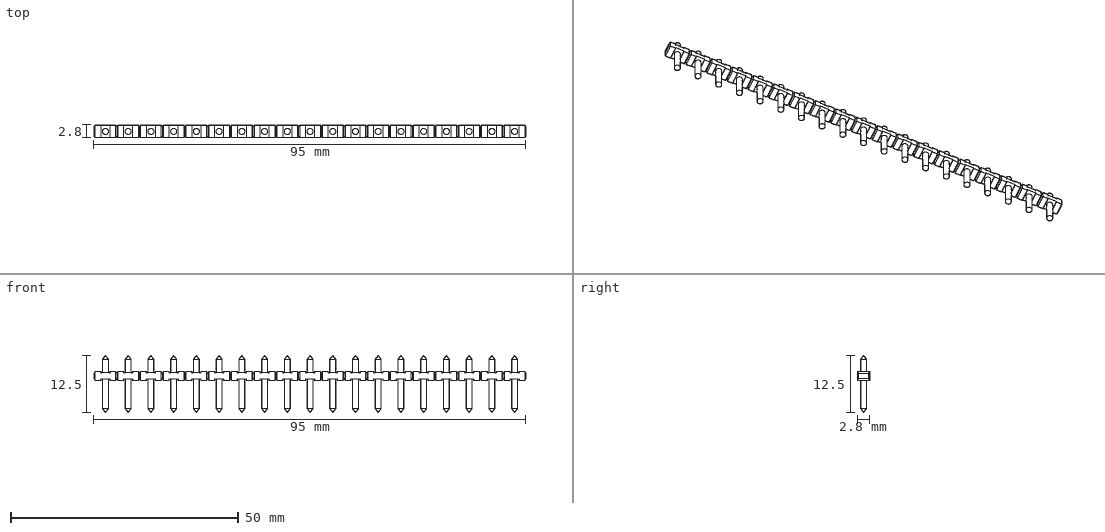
import cadquery as cq


strip_length = 95.0
pin_count = 19
pitch = strip_length / pin_count

body_width = 2.8
body_height = 2.0

notch_half_width = 0.25
notch_depth_side = 0.3
notch_depth_vertical = 0.5

channel_width = 2.0
channel_depth = 0.3

pin_diameter = 1.3
pin_total_length = 12.5
pin_above_body = 3.5
tip_length = 0.9


def make_segment_end(direction):
    """Half of a segment, from its middle out to the narrowed end face."""
    straight_length = pitch / 2 - notch_half_width
    neck_width = body_width - 2 * notch_depth_side
    neck_height = body_height - 2 * notch_depth_vertical
    straight = (
        cq.Workplane("YZ")
        .rect(body_width, body_height)
        .extrude(direction * straight_length)
    )
    taper = (
        cq.Workplane("YZ", origin=(direction * straight_length, 0, 0))
        .rect(body_width, body_height)
        .workplane(offset=direction * notch_half_width)
        .rect(neck_width, neck_height)
        .loft(ruled=True)
    )
    return straight.union(taper)


def cut_channels(segment):
    """Cut the channel across the top and bottom of a segment."""
    web_height = body_height - 2 * channel_depth
    for side in (-1, 1):
        channel = cq.Workplane("XY").box(channel_width, body_width, channel_depth)
        segment = segment.cut(channel.translate((0, 0, side * (web_height + channel_depth) / 2)))
    return segment


def make_pin():
    """Round pin with a conical point at both ends."""
    radius = pin_diameter / 2
    top = body_height / 2 + pin_above_body
    bottom = top - pin_total_length
    profile = [
        (0, bottom),
        (radius, bottom + tip_length),
        (radius, top - tip_length),
        (0, top),
    ]
    return cq.Workplane("XZ").polyline(profile).close().revolve(360, (0, 0, 0), (0, 1, 0))


segment = cut_channels(make_segment_end(-1).union(make_segment_end(1))).union(make_pin())

result = cq.Workplane("XY")
for index in range(pin_count):
    x = (index - (pin_count - 1) / 2) * pitch
    result = result.union(segment.translate((x, 0, 0)))